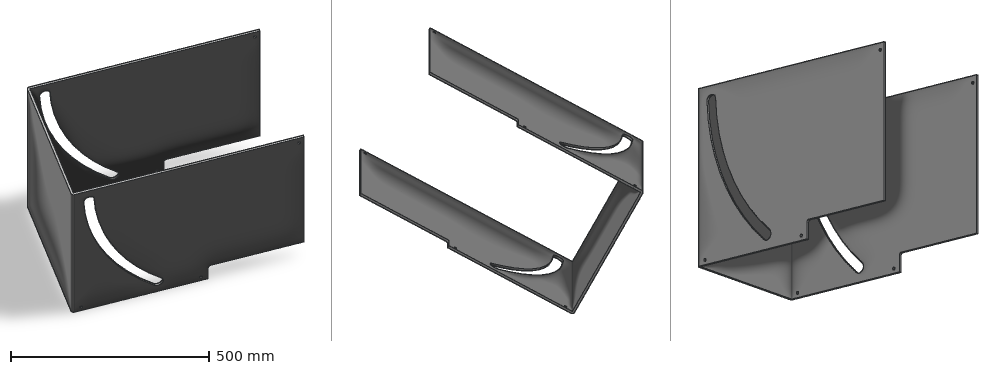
import math

import cadquery as cq

WIDTH = 368.3
DEPTH = 615.95
HEIGHT = 469.9
SHEET = 6.35
BEND_OUTER_RADIUS = 7.0
BEND_INNER_RADIUS = BEND_OUTER_RADIUS - SHEET

NOTCH_FRONT_Y = 361.95
NOTCH_HEIGHT = 50.8
NOTCH_CORNER_RADIUS = 6.35

HOLE_DIAMETER = 6.86
LOWER_HOLE_Z = 12.7
FRONT_HOLE_Y = 25.4
NOTCH_HOLE_INSET = 19.05
PIVOT_Y = DEPTH - 12.7
PIVOT_Z = HEIGHT - 19.05

SLOT_RADIUS = 557.2
SLOT_WIDTH = 28.575
SLOT_START_ANGLE = 2.0
SLOT_END_ANGLE = 47.75


def bent_sheet():
    """U-shaped channel: a front panel with a side wall bent back at each end."""
    outer = (
        cq.Workplane("XY")
        .rect(WIDTH, DEPTH)
        .extrude(HEIGHT)
        .translate((0, DEPTH / 2, 0))
        .edges("|Z and <Y")
        .fillet(BEND_OUTER_RADIUS)
    )
    inner = (
        cq.Workplane("XY")
        .rect(WIDTH - 2 * SHEET, DEPTH)
        .extrude(HEIGHT)
        .translate((0, DEPTH / 2 + SHEET, 0))
        .edges("|Z and <Y")
        .fillet(BEND_INNER_RADIUS)
    )
    return outer.cut(inner)


def side_plane():
    """Sketch plane on the -X face with local axes along Y and Z."""
    return cq.Workplane("YZ", origin=(-WIDTH / 2, 0, 0))


def notch_cutter():
    """Block removed from the bottom rear of both walls, with a rounded inner corner."""
    depth = DEPTH - NOTCH_FRONT_Y
    return (
        side_plane()
        .moveTo(NOTCH_FRONT_Y, 0)
        .rect(depth, NOTCH_HEIGHT, centered=False)
        .extrude(WIDTH)
        .edges("|X and <Y and >Z")
        .fillet(NOTCH_CORNER_RADIUS)
    )


def hole_cutter():
    """Mounting and pivot holes through both walls."""
    centers = [
        (FRONT_HOLE_Y, LOWER_HOLE_Z),
        (NOTCH_FRONT_Y - NOTCH_HOLE_INSET, LOWER_HOLE_Z),
        (PIVOT_Y, PIVOT_Z),
    ]
    return side_plane().pushPoints(centers).circle(HOLE_DIAMETER / 2).extrude(WIDTH)


def point_about_pivot(radius, angle):
    """Position (y, z) at a radius from the pivot, angle degrees below the front direction."""
    turn = math.radians(angle)
    return PIVOT_Y - radius * math.cos(turn), PIVOT_Z - radius * math.sin(turn)


def slot_cutter():
    """Round-ended arc slot through both walls."""
    end_radius = SLOT_WIDTH / 2
    inner = SLOT_RADIUS - end_radius
    outer = SLOT_RADIUS + end_radius
    middle_angle = (SLOT_START_ANGLE + SLOT_END_ANGLE) / 2
    cap_angle = math.degrees(end_radius / SLOT_RADIUS)
    start_tip = point_about_pivot(SLOT_RADIUS, SLOT_START_ANGLE - cap_angle)
    end_tip = point_about_pivot(SLOT_RADIUS, SLOT_END_ANGLE + cap_angle)
    return (
        side_plane()
        .moveTo(*point_about_pivot(outer, SLOT_START_ANGLE))
        .threePointArc(point_about_pivot(outer, middle_angle), point_about_pivot(outer, SLOT_END_ANGLE))
        .threePointArc(end_tip, point_about_pivot(inner, SLOT_END_ANGLE))
        .threePointArc(point_about_pivot(inner, middle_angle), point_about_pivot(inner, SLOT_START_ANGLE))
        .threePointArc(start_tip, point_about_pivot(outer, SLOT_START_ANGLE))
        .close()
        .extrude(WIDTH)
    )


result = bent_sheet().cut(notch_cutter()).cut(hole_cutter()).cut(slot_cutter())